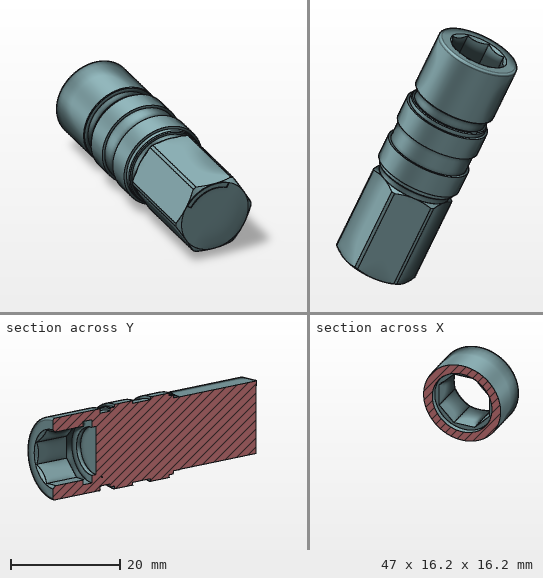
import cadquery as cq
import math

length = 47.0
mark_height = 0.165
end_x = length - mark_height

sleeve_radius = 15.7 / 2
sleeve_end = 10.95
sleeve_fillet = 0.45
sleeve_chamfer = 0.15

neck_radius = 14.0 / 2
collar_radius = 15.2 / 2
collar_start = 13.15
collar_end = 27.85
collar_edge = 0.2
band_radius = 16.2 / 2
band_width = 4.32
band_starts = (14.15, 22.5)

hex_start = 29.1
hex_flats = 13.9
hex_corner_radius = 15.7 / 2
hex_cone_length = 0.55

socket_flats = 10.15
socket_depth = 7.05
mouth_radius = 11.3 / 2
mouth_cone_length = 0.55
relief_radius = 12.0 / 2
relief_length = 1.9
bore_radius = 9.1 / 2
bore_length = 0.95

mark_inner_radius = 12.0 / 2
mark_outer_radius = hex_flats / 2
mark_start_angle = 66.0
mark_end_angle = 147.0


def cylinder(start, end, radius):
    """Solid cylinder about the X axis."""
    return cq.Workplane("YZ", origin=(start, 0, 0)).circle(radius).extrude(end - start)


def prism(start, end, sides, flats, turn):
    """Regular prism about the X axis; turn is the angle of its first corner from +Y."""
    corner_diameter = flats / math.cos(math.pi / sides)
    plane = cq.Workplane("YZ", origin=(start, 0, 0)).transformed(rotate=(0, 0, turn))
    return plane.polygon(sides, corner_diameter).extrude(end - start)


def revolved(points):
    """Turn an (x, radius) outline about the X axis."""
    return cq.Workplane("XY").polyline(points).close().revolve(360, (0, 0, 0), (1, 0, 0))


def make_sleeve():
    sleeve = cylinder(0, sleeve_end, sleeve_radius)
    return sleeve.faces("<X").edges().fillet(sleeve_fillet).faces(">X").edges().chamfer(sleeve_chamfer)


def make_collar():
    collar = cylinder(collar_start, collar_end, collar_radius)
    collar = collar.faces("<X or >X").edges().chamfer(collar_edge)
    for start in band_starts:
        collar = collar.union(cylinder(start, start + band_width, band_radius))
    return collar


def make_hex_grip():
    turned_blank = revolved([
        (hex_start, 0),
        (hex_start, hex_flats / 2),
        (hex_start + hex_cone_length, hex_corner_radius),
        (end_x - hex_cone_length, hex_corner_radius),
        (end_x, hex_flats / 2),
        (end_x, 0),
    ])
    return prism(hex_start, end_x, 6, hex_flats, 0).intersect(turned_blank)


def make_socket():
    mouth = revolved([
        (0, 0),
        (0, mouth_radius),
        (mouth_cone_length, socket_flats / 2),
        (mouth_cone_length, 0),
    ])
    octagon = prism(0, socket_depth, 8, socket_flats, 180 / 8)
    relief_end = socket_depth + relief_length
    relief = cylinder(socket_depth, relief_end, relief_radius)
    bore = cylinder(relief_end, relief_end + bore_length, bore_radius)
    return octagon.union(mouth).union(relief).union(bore)


def make_end_mark():
    def rim_point(radius, angle):
        return (radius * math.cos(math.radians(angle)), radius * math.sin(math.radians(angle)))

    middle_angle = (mark_start_angle + mark_end_angle) / 2
    return (
        cq.Workplane("YZ", origin=(end_x, 0, 0))
        .moveTo(*rim_point(mark_inner_radius, mark_start_angle))
        .lineTo(*rim_point(mark_outer_radius, mark_start_angle))
        .threePointArc(
            rim_point(mark_outer_radius, middle_angle), rim_point(mark_outer_radius, mark_end_angle)
        )
        .lineTo(*rim_point(mark_inner_radius, mark_end_angle))
        .threePointArc(
            rim_point(mark_inner_radius, middle_angle), rim_point(mark_inner_radius, mark_start_angle)
        )
        .close()
        .extrude(mark_height)
    )


result = (
    make_sleeve()
    .union(cylinder(sleeve_end, collar_start, neck_radius))
    .union(make_collar())
    .union(cylinder(collar_end, hex_start, neck_radius))
    .union(make_hex_grip())
    .union(make_end_mark())
    .cut(make_socket())
)